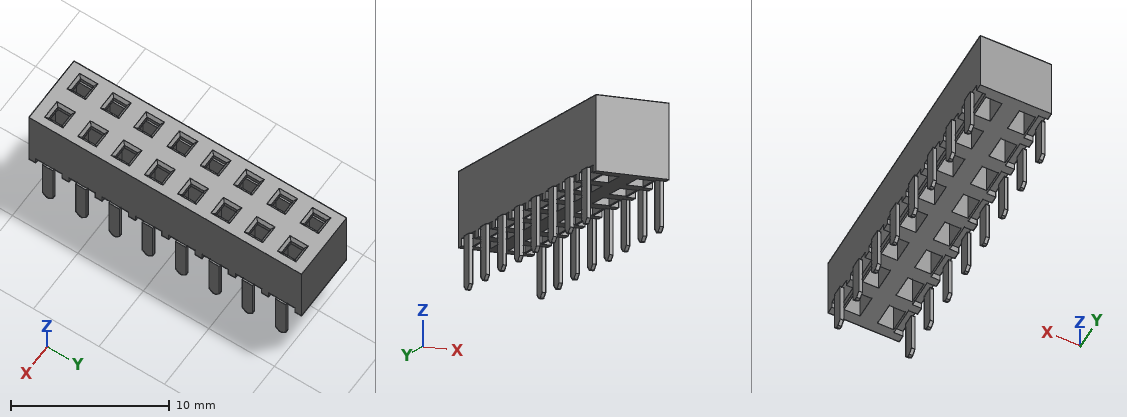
import cadquery as cq

rows = 8
pitch = 2.54
end_margin = 0.25
body_width = 2 * pitch
body_length = rows * pitch + 2 * end_margin
body_height = 5.0
column_x = pitch / 2

throat_size = 1.0
mouth_size = 1.4
mouth_depth = (mouth_size - throat_size) / 2
throat_length = 0.3
cavity_top = body_height - mouth_depth - throat_length
cavity_width = 1.6
cavity_inner_clearance = 0.15
recess_height = 0.25
recess_depth = 0.3

notch_length = 2.0
notch_height = 0.5
notch_depth = 0.65

overall_width = 5.33
pin_thickness = 0.25
pin_width = 0.8
pin_length_below_body = 3.1
pin_tip_chamfer = 0.3

row_positions = [(row - (rows - 1) / 2) * pitch for row in range(rows)]


def box_between(x_inner, x_outer, y_size, z_bottom, z_top):
    """Box centred on Y between two X positions and two heights."""
    return (
        cq.Workplane("XY")
        .box(x_outer - x_inner, y_size, z_top - z_bottom, centered=(False, True, False))
        .translate((x_inner, 0, z_bottom))
    )


def make_socket():
    """Through opening of one socket of the +X column, at Y = 0."""
    mouth = (
        cq.Workplane("XY", origin=(column_x, 0, body_height - mouth_depth))
        .rect(throat_size, throat_size)
        .workplane(offset=mouth_depth)
        .rect(mouth_size, mouth_size)
        .loft(ruled=True)
    )
    throat_inner = column_x - throat_size / 2
    throat_outer = column_x + throat_size / 2
    cavity_inner = throat_inner - cavity_inner_clearance
    throat = box_between(throat_inner, throat_outer, throat_size, 0, body_height - mouth_depth)
    cavity = box_between(cavity_inner, throat_outer, cavity_width, 0, cavity_top)
    recess = box_between(
        cavity_inner, throat_outer + recess_depth, cavity_width, cavity_top - recess_height, cavity_top
    )
    return mouth.union(throat).union(cavity).union(recess)


def make_notch():
    """Material removed around the top of one pin of the +X column, at Y = 0."""
    outer_face = body_width / 2
    return box_between(outer_face - notch_depth, outer_face, notch_length, 0, notch_height)


def make_pin():
    """Flat pin of the +X column at Y = 0, hanging from the roof of its notch."""
    outer_face = overall_width / 2
    pin = box_between(
        outer_face - pin_thickness, outer_face, pin_width, -pin_length_below_body, notch_height
    )
    return pin.faces("<Z").edges("|X").chamfer(pin_tip_chamfer)


def at_every_position(feature):
    """Copies of a +X column feature at every row of both columns."""
    mirrored = feature.mirror("YZ")
    copies = cq.Workplane("XY")
    for y in row_positions:
        copies = copies.add(feature.translate((0, y, 0)))
        copies = copies.add(mirrored.translate((0, y, 0)))
    return copies.combine()


body = cq.Workplane("XY").box(body_width, body_length, body_height, centered=(True, True, False))
body = body.cut(at_every_position(make_socket()))
body = body.cut(at_every_position(make_notch()))
result = body.union(at_every_position(make_pin()))